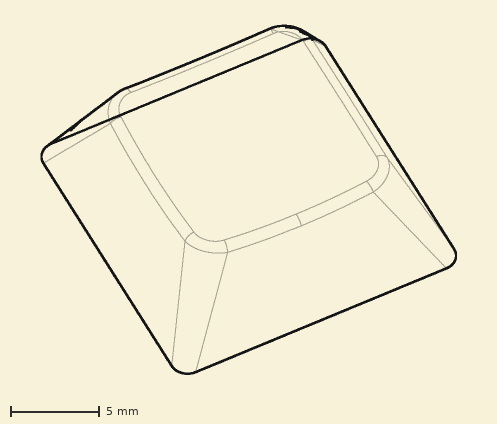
import cadquery as cq

base_width = 18.0
base_corner_radius = 1.0
block_height = 7.2
wall_inset = 2.92
top_width = base_width - 2 * wall_inset
top_corner_radius = 1.9

dish_radius = 43.2
dish_bottom_height = 6.05
rim_fillet_radius = 0.6


def rounded_square(width, corner_radius, height):
    """Round-cornered square centred on the Z axis at the given height."""
    square = cq.Sketch().rect(width, width).vertices().fillet(corner_radius)
    return square.moved(cq.Location(cq.Vector(0, 0, height)))


def tapered_block():
    """Block with straight sloping walls whose corner rounding widens upward."""
    base = rounded_square(base_width, base_corner_radius, 0)
    top = rounded_square(top_width, top_corner_radius, block_height)
    return cq.Workplane("XY").placeSketch(base, top).loft(ruled=True)


def dish_sphere():
    """Sphere whose lowest point is the middle of the dish."""
    center_height = dish_bottom_height + dish_radius
    return cq.Workplane("XY", origin=(0, 0, center_height)).sphere(dish_radius)


dished_block = tapered_block().cut(dish_sphere())
result = dished_block.faces("%SPHERE").edges().fillet(rim_fillet_radius)